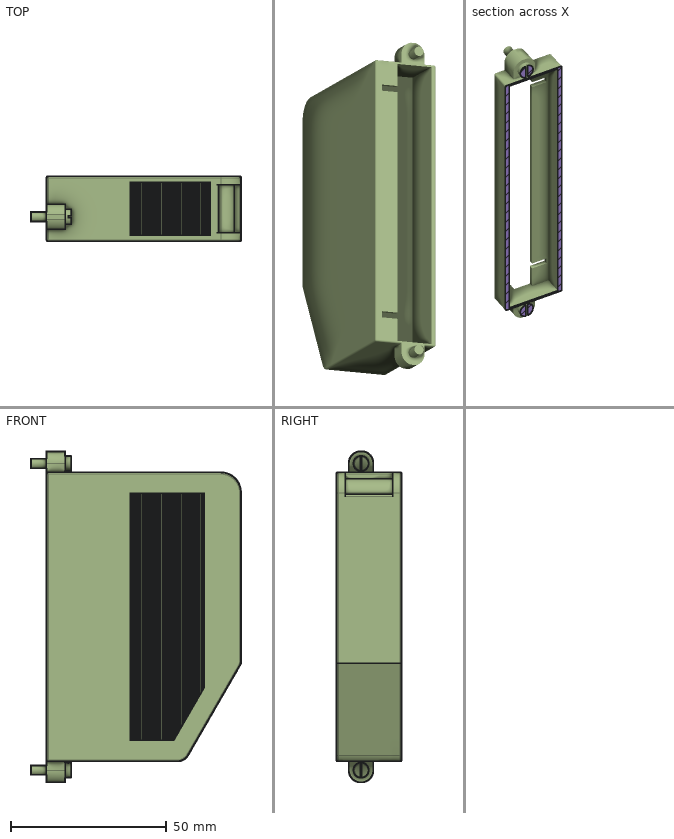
import cadquery as cq
import math


overall_length = 67.7
overall_height = 106.6
housing_depth = 21.0
housing_height = 93.2
mating_x = 5.0
slope_start_z = -15.0
slope_angle = 60.0
top_corner_radius = 6.6
bottom_corner_radius = 4.0
edge_radius = 0.5

half_depth = housing_depth / 2
half_height = housing_height / 2
slope_run_per_drop = 1 / math.tan(math.radians(slope_angle))

side_wall = 1.6
pocket_half_height = 45.9
pocket_end_x = 20.9
cover_thickness = 1.5
cover_edge_y = 2.9
notch_height = 2.0
notch_centre_z = 37.5
notch_end_y = 8.2

grip_depth = 2.1
grip_half_width = 7.7
grip_overrun = 0.5
grip_centre_x = overall_length - top_corner_radius
grip_centre_z = half_height - top_corner_radius
grip_start_x = grip_centre_x - grip_overrun
grip_end_z = grip_centre_z - grip_overrun
grip_floor_radius = top_corner_radius - grip_depth

groove_pitch = 0.99
groove_depth = groove_pitch * math.sqrt(3) / 2
groove_start_x = 32.0
side_groove_count = 24
side_groove_half_height = 39.8
side_groove_corner_x = 46.0
top_groove_count = 26
top_groove_half_width = 8.5

lug_width = 8.0
lug_radius = lug_width / 2
lug_flat_width = 1.7
lug_length = 6.0
lug_y = -2.6
shank_diameter = 3.1
head_diameter = 4.9
head_length = 2.0
head_edge_radius = 0.3
slot_width = 0.5
slot_depth = 1.0
screw_z = overall_height / 2 - math.sqrt(lug_radius**2 - (lug_flat_width / 2) ** 2)
lug_end_x = mating_x + lug_length


def box(x_range, y_range, z_range):
    """Axis-aligned box between pairs of limits."""
    limits = (x_range, y_range, z_range)
    sizes = [high - low for low, high in limits]
    corner = tuple(low for low, high in limits)
    return cq.Workplane("XY").box(*sizes, centered=False).translate(corner)


def prism(points, half_width):
    """Polygon in XZ extruded to both sides of the XZ plane."""
    return cq.Workplane("XZ").polyline(points).close().extrude(half_width, both=True)


def housing_block():
    slope_end_x = overall_length - (slope_start_z + half_height) * slope_run_per_drop
    block = prism(
        [
            (mating_x, -half_height),
            (slope_end_x, -half_height),
            (overall_length, slope_start_z),
            (overall_length, half_height),
            (mating_x, half_height),
        ],
        half_depth,
    )
    block = block.edges("|Y").edges(">X and >Z").fillet(top_corner_radius)
    bottom_corner = cq.selectors.NearestToPointSelector((slope_end_x, 0, -half_height))
    block = block.edges(bottom_corner).fillet(bottom_corner_radius)
    return block.faces("<Y or >Y or <X").edges().fillet(edge_radius)


def cavity():
    """Rectangular pocket behind the notched cover plate."""
    inner_y = half_depth - side_wall
    pocket_z = (-pocket_half_height, pocket_half_height)
    hollow = box((mating_x, pocket_end_x), (-inner_y, inner_y), pocket_z)
    cover_x = (mating_x, mating_x + cover_thickness)
    hollow = hollow.cut(box(cover_x, (cover_edge_y, inner_y), pocket_z))
    for centre_z in (-notch_centre_z, notch_centre_z):
        notch_z = (centre_z - notch_height / 2, centre_z + notch_height / 2)
        hollow = hollow.union(box(cover_x, (cover_edge_y, notch_end_y), notch_z))
    return hollow


def cut_grip(body):
    grip_y = (-grip_half_width, grip_half_width)
    recess = box((grip_start_x, overall_length), grip_y, (grip_end_z, half_height))
    floor = box(
        (grip_start_x, grip_centre_x + grip_floor_radius),
        grip_y,
        (grip_end_z, grip_centre_z + grip_floor_radius),
    )
    floor = floor.edges("|Y").edges(">X and >Z").fillet(grip_floor_radius)
    body = body.cut(recess.cut(floor))
    top_lip = cq.selectors.NearestToPointSelector((grip_start_x, 0, half_height))
    rear_lip = cq.selectors.NearestToPointSelector((overall_length, 0, grip_end_z))
    return body.edges(top_lip).fillet(edge_radius).edges(rear_lip).fillet(edge_radius)


def groove_profile(plane, count, surface):
    """Sawtooth outline with crests on the housing surface, closed outside it."""
    end_x = groove_start_x + count * groove_pitch
    outward = math.copysign(groove_depth, surface)
    points = [(groove_start_x, surface + outward), (groove_start_x, surface)]
    for index in range(count):
        left = groove_start_x + index * groove_pitch
        points.append((left + groove_pitch / 2, surface - outward))
        points.append((left + groove_pitch, surface))
    points.append((end_x, surface + outward))
    return cq.Workplane(plane).polyline(points).close()


def side_grooves():
    grooves = groove_profile("XY", side_groove_count, -half_depth)
    grooves = grooves.extrude(side_groove_half_height, both=True)
    end_x = groove_start_x + side_groove_count * groove_pitch
    slope_rise = (end_x - side_groove_corner_x) / slope_run_per_drop
    below_slope = prism(
        [
            (side_groove_corner_x, -side_groove_half_height),
            (end_x, -side_groove_half_height),
            (end_x, -side_groove_half_height + slope_rise),
        ],
        housing_depth,
    )
    return grooves.cut(below_slope)


def top_grooves():
    grooves = groove_profile("XZ", top_groove_count, half_height)
    return grooves.extrude(top_groove_half_width, both=True)


def top_screw_lug():
    """Lug with a flattened round end, and the slotted screw through it."""
    lug_y_range = (lug_y - lug_radius, lug_y + lug_radius)
    axis_plane = cq.Workplane("YZ", origin=(0, lug_y, screw_z))
    boss = axis_plane.workplane(offset=mating_x).circle(lug_radius).extrude(lug_length)
    foot = box((mating_x, lug_end_x), lug_y_range, (pocket_half_height, screw_z))
    envelope = box((mating_x, lug_end_x), lug_y_range, (0, overall_height / 2))
    lug = boss.union(foot).intersect(envelope)
    shank = axis_plane.circle(shank_diameter / 2).extrude(lug_end_x)
    head = axis_plane.workplane(offset=lug_end_x).circle(head_diameter / 2).extrude(head_length)
    head = head.faces(">X").edges().fillet(head_edge_radius)
    head_end_x = lug_end_x + head_length
    slot = box(
        (head_end_x - slot_depth, head_end_x),
        (lug_y - slot_width / 2, lug_y + slot_width / 2),
        (screw_z - head_diameter / 2, screw_z + head_diameter / 2),
    )
    return lug.union(shank).union(head.cut(slot))


top_lug = top_screw_lug()
body = cut_grip(housing_block()).cut(side_grooves()).cut(top_grooves())
body = body.union(top_lug).union(top_lug.mirror("XY"))
result = body.cut(cavity())